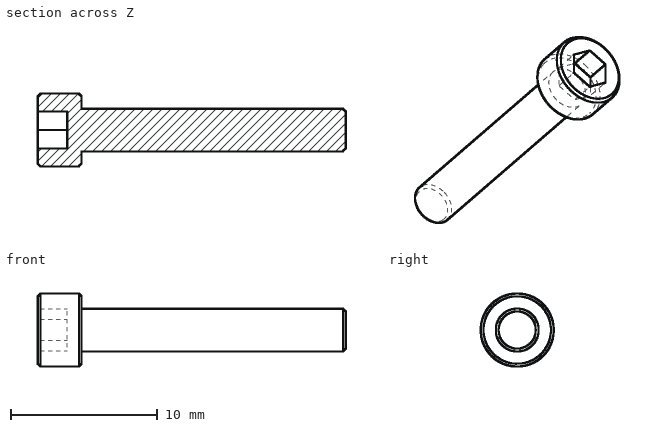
import cadquery as cq
import math

head_diameter = 5.0
head_length = 3.0
shank_diameter = 2.93
shank_length = 18.0
head_chamfer = 0.2
tip_chamfer = 0.2
socket_across_flats = 2.5
socket_depth = 2.0
socket_sides = 6

socket_across_corners = socket_across_flats / math.cos(math.pi / socket_sides)
corner_angle = 90


def make_head():
    """Cylindrical head along X, chamfered on both rims; outer face at X = 0."""
    head = cq.Workplane("YZ").circle(head_diameter / 2).extrude(head_length)
    return head.faces("<X or >X").chamfer(head_chamfer)


def make_shank():
    """Plain shank running from the head to a chamfered tip."""
    shank = (
        cq.Workplane("YZ", origin=(head_length, 0, 0))
        .circle(shank_diameter / 2)
        .extrude(shank_length)
    )
    return shank.faces(">X").chamfer(tip_chamfer)


def make_socket():
    """Hexagonal key socket with two corners pointing along Z."""
    return (
        cq.Workplane("YZ")
        .transformed(rotate=(0, 0, corner_angle))
        .polygon(socket_sides, socket_across_corners)
        .extrude(socket_depth)
    )


result = make_head().union(make_shank()).cut(make_socket())